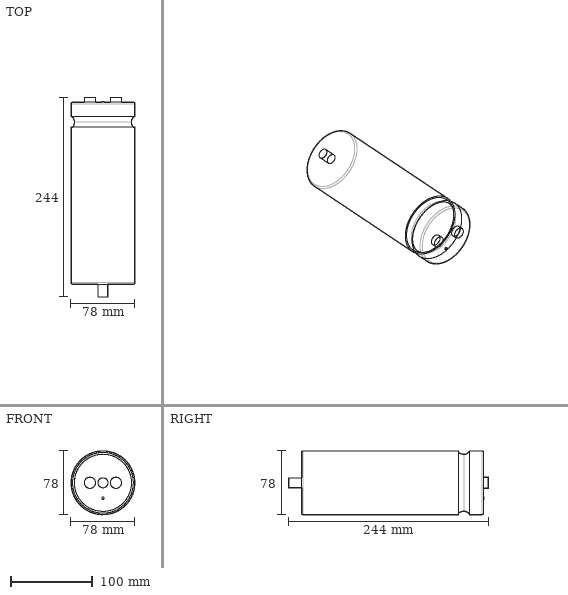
import cadquery as cq
import math

total_length = 244.0
stud_length = 15.9
terminal_height = 5.9
can_length = total_length - stud_length - terminal_height
can_radius = 39.0
edge_radius = 2.0

stud_radius = 6.0
terminal_radius = 6.8
terminal_spacing = 31.7

groove_center_depth = 24.0
groove_half_width = 6.5
groove_floor_radius = 35.0
groove_shoulder_radius = 37.0

vent_radius = 1.5
vent_height = 0.7
vent_z = -18.8

can_front = -total_length / 2 + stud_length
can_back = can_front + can_length
groove_y = can_back - groove_center_depth


def post(x, z, y_start, radius, length):
    """Round post standing along +Y from y_start."""
    base = cq.Vector(x, y_start, z)
    return cq.Workplane(cq.Solid.makeCylinder(radius, length, base, cq.Vector(0, 1, 0)))


def groove_arc_middle(side_radius, side):
    """Middle point of a groove arc that is tangent to the floor at groove_y."""
    rise = side_radius - groove_floor_radius
    arc_radius = (groove_half_width**2 + rise**2) / (2 * rise)
    half_angle = math.atan2(rise, groove_half_width)
    offset = arc_radius * math.sin(half_angle)
    height = arc_radius * (1 - math.cos(half_angle))
    return (groove_floor_radius + height, groove_y + side * offset)


def make_can():
    """Revolved can with rounded end edges and a crimp groove."""
    profile = (
        cq.Workplane("XY")
        .moveTo(0, can_front)
        .lineTo(can_radius, can_front)
        .lineTo(can_radius, groove_y - groove_half_width)
        .lineTo(groove_shoulder_radius, groove_y - groove_half_width)
        .threePointArc(
            groove_arc_middle(groove_shoulder_radius, -1),
            (groove_floor_radius, groove_y),
        )
        .threePointArc(
            groove_arc_middle(can_radius, 1),
            (can_radius, groove_y + groove_half_width),
        )
        .lineTo(can_radius, can_back)
        .lineTo(0, can_back)
        .close()
    )
    can = profile.revolve(360, (0, 0, 0), (0, 1, 0))
    return can.faces("<Y or >Y").edges().fillet(edge_radius)


result = make_can()

result = result.union(post(0, 0, -total_length / 2, stud_radius, stud_length))

for side in (-1, 1):
    terminal_x = side * terminal_spacing / 2
    result = result.union(post(terminal_x, 0, can_back, terminal_radius, terminal_height))

result = result.union(post(0, vent_z, can_back, vent_radius, vent_height))